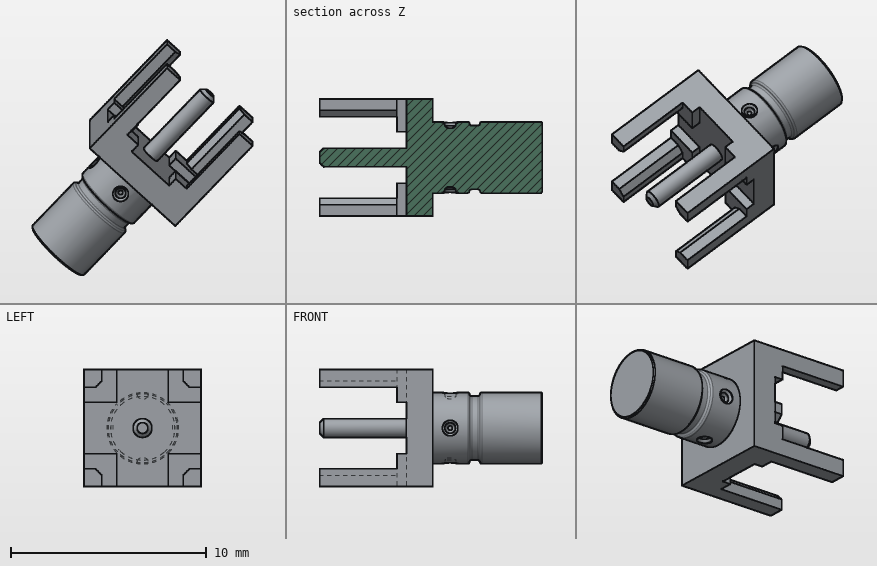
import cadquery as cq

total_length = 11.38
body_side = 5.99
half_side = body_side / 2

body_end = 5.78
plate_face = 4.44
pad_face = 3.95
pad_side = 1.68
leg_side = 0.92
leg_chamfer = 0.34

pin_diameter = 0.97
pin_chamfer = 0.2

barrel_radius = 3.65 / 2
groove_radius = 3.28 / 2
groove_start = 7.56
groove_end = 8.28
groove_arc_width = 0.1
end_chamfer = 0.07

dimple_position = 6.67
dimple_mouth_radius = 0.4
dimple_wall_radius = 0.27
dimple_floor_radius = 0.22
dimple_tip_radius = 0.11
dimple_wall_depth = 0.2
dimple_floor_depth = 0.26
dimple_depth = 0.32
dimple_count = 4


def corner_block(side, start, end, y_sign, z_sign):
    """Square bar along X, flush with one corner of the body."""
    centre = half_side - side / 2
    return (
        cq.Workplane("YZ", origin=(start, 0, 0))
        .center(y_sign * centre, z_sign * centre)
        .rect(side, side)
        .extrude(end - start)
    )


def make_leg(y_sign, z_sign):
    """Leg running down to the pad, chamfered on its edge nearest the axis."""
    leg = corner_block(leg_side, 0, pad_face, y_sign, z_sign)
    inner_edge = cq.NearestToPointSelector(
        (pad_face / 2, y_sign * (half_side - leg_side), z_sign * (half_side - leg_side))
    )
    return leg.edges("|X").edges(inner_edge).chamfer(leg_chamfer)


def make_body():
    """Plate with a raised pad and a leg at each corner."""
    body = (
        cq.Workplane("YZ", origin=(plate_face, 0, 0))
        .rect(body_side, body_side)
        .extrude(body_end - plate_face)
    )
    for y_sign in (-1, 1):
        for z_sign in (-1, 1):
            body = body.union(corner_block(pad_side, pad_face, plate_face, y_sign, z_sign))
            body = body.union(make_leg(y_sign, z_sign))
    return body


def make_pin():
    """Centre pin with a chamfered tip, rooted in the plate."""
    return (
        cq.Workplane("YZ")
        .circle(pin_diameter / 2)
        .extrude(body_end)
        .faces("<X")
        .chamfer(pin_chamfer)
    )


def make_barrel():
    """Turned barrel whose groove has walls curving from a rounded rim into the floor."""
    middle_radius = (barrel_radius + groove_radius) / 2
    profile = (
        cq.Workplane("XY")
        .moveTo(plate_face, 0)
        .lineTo(plate_face, barrel_radius)
        .lineTo(groove_start, barrel_radius)
        .tangentArcPoint((groove_start + groove_arc_width, middle_radius), relative=False)
        .tangentArcPoint((groove_start + 2 * groove_arc_width, groove_radius), relative=False)
        .lineTo(groove_end - 2 * groove_arc_width, groove_radius)
        .tangentArcPoint((groove_end - groove_arc_width, middle_radius), relative=False)
        .tangentArcPoint((groove_end, barrel_radius), relative=False)
        .lineTo(total_length - end_chamfer, barrel_radius)
        .lineTo(total_length, barrel_radius - end_chamfer)
        .lineTo(total_length, 0)
        .close()
    )
    return profile.revolve(360, (0, 0, 0), (1, 0, 0))


def make_dimple_cutter():
    """Round dimple from +Z: rolled rim, straight wall, bevelled corner and flat-tipped conical floor."""
    rim_round = dimple_mouth_radius - dimple_wall_radius
    rim_height = (barrel_radius**2 - dimple_mouth_radius**2) ** 0.5
    return (
        cq.Workplane("XZ", origin=(dimple_position, 0, 0))
        .moveTo(0, barrel_radius - dimple_depth)
        .lineTo(dimple_tip_radius, barrel_radius - dimple_depth)
        .lineTo(dimple_floor_radius, barrel_radius - dimple_floor_depth)
        .lineTo(dimple_wall_radius, barrel_radius - dimple_wall_depth)
        .lineTo(dimple_wall_radius, rim_height - rim_round)
        .tangentArcPoint((dimple_mouth_radius, rim_height), relative=False)
        .lineTo(dimple_mouth_radius, barrel_radius)
        .lineTo(0, barrel_radius)
        .close()
        .revolve(360, (0, 0, 0), (0, 1, 0))
    )


barrel = make_barrel()
dimple_cutter = make_dimple_cutter()
for index in range(dimple_count):
    angle = index * 360 / dimple_count
    barrel = barrel.cut(dimple_cutter.rotate((0, 0, 0), (1, 0, 0), angle))

result = make_body().union(make_pin()).union(barrel)